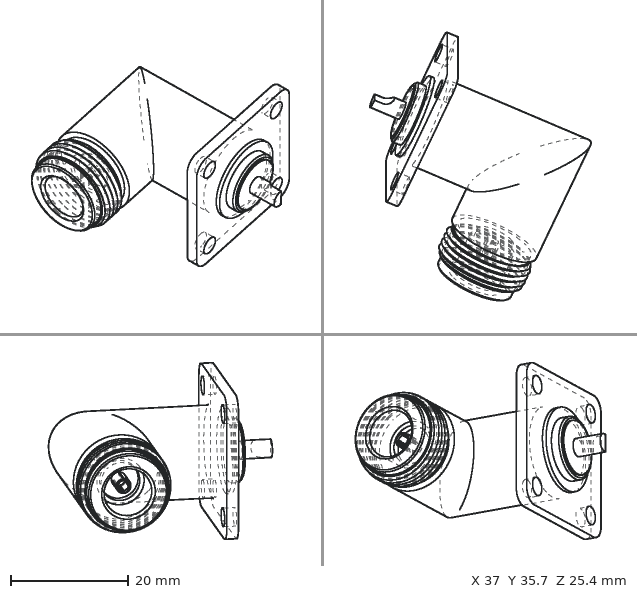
import cadquery as cq


body_diameter = 15.9
body_radius = body_diameter / 2
arm_end = 14.55

flange_size = 25.4
flange_thickness = 2.05
flange_start = 19.03
flange_end = flange_start + flange_thickness
flange_corner_radius = 2.6
flange_hole_diameter = 3.2
flange_hole_spacing = 18.25
weld_fillet = 0.55

collar_diameter = 14.65
collar_height = 0.7
collar_end = flange_end + collar_height
boss_diameter = 11.0
boss_height = 2.0
boss_end = collar_end + boss_height
boss_rim_chamfer = 0.35
insulator_diameter = 9.48
insulator_height = 0.22
pin_diameter = 3.2
overall_length = 37.02
pin_end = overall_length - body_radius
pin_flat_height = 0.35
pin_flat_start = 27.7
pin_scoop_radius = 1.93

neck_diameter = 13.75
overall_depth = 35.7
neck_end = overall_depth - flange_size / 2
neck_chamfer = 0.3
thread_start = 15.85
thread_end = 21.0
thread_pitch = 1.06
thread_depth = 0.78
thread_root_flat = 0.05
thread_overlap = 0.05
thread_root_radius = body_radius - thread_depth
thread_turns = 8
ridge_start = 14.6

mouth_diameter = 9.3
socket_diameter = 8.25
mouth_depth = 0.5
socket_depth = 7.4
seat_diameter = 6.75
seat_depth = 8.9

contact_diameter = 2.55
contact_tip_depth = 4.45
contact_mouth_diameter = 2.3
contact_hole_diameter = 1.78
contact_mouth_depth = 0.25
contact_hole_depth = 3.7
contact_slot_width = 0.2


def x_cylinder(diameter, start, end):
    """Cylinder about the X axis."""
    return cq.Workplane("YZ").workplane(offset=start).circle(diameter / 2).extrude(end - start)


def neck_cylinder(diameter, start, end):
    """Cylinder about the Z axis, later turned to point along -Y."""
    return cq.Workplane("XY").workplane(offset=start).circle(diameter / 2).extrude(end - start)


def neck_funnel(outer_diameter, inner_diameter, face, depth):
    """Cone about the Z axis that narrows from the face down to the given depth."""
    return (
        cq.Workplane("XY")
        .workplane(offset=face)
        .circle(outer_diameter / 2)
        .workplane(offset=-depth)
        .circle(inner_diameter / 2)
        .loft()
    )


def make_body():
    path = cq.Workplane("XY").moveTo(flange_start, 0).lineTo(0, 0).lineTo(0, -arm_end)
    profile = cq.Workplane("YZ").workplane(offset=flange_start).circle(body_radius)
    return profile.sweep(path, transition="right")


def make_flange():
    plate = (
        cq.Workplane("YZ")
        .workplane(offset=flange_start)
        .rect(flange_size, flange_size)
        .extrude(flange_thickness)
        .edges("|X")
        .fillet(flange_corner_radius)
    )
    return (
        plate.faces(">X")
        .workplane(origin=(flange_end, 0, 0))
        .rect(flange_hole_spacing, flange_hole_spacing, forConstruction=True)
        .vertices()
        .hole(flange_hole_diameter)
    )


def make_weld():
    """Concave ring that blends the body into the flange."""
    return (
        cq.Workplane("XY")
        .moveTo(flange_start, 0)
        .lineTo(flange_start, body_radius + weld_fillet)
        .radiusArc((flange_start - weld_fillet, body_radius), weld_fillet)
        .lineTo(flange_start - weld_fillet, 0)
        .close()
        .revolve(360, (0, 0, 0), (1, 0, 0))
    )


def make_boss():
    """Collar, chamfered boss and the insulator that stands out of the boss face."""
    boss_face = boss_end - insulator_height
    collar = x_cylinder(collar_diameter, flange_end, collar_end)
    boss = x_cylinder(boss_diameter, flange_end, boss_face).faces(">X").chamfer(boss_rim_chamfer)
    insulator = x_cylinder(insulator_diameter, flange_end, boss_end)
    return collar.union(boss).union(insulator)


def make_pin():
    """Solder pin with its +Y side scooped away to a flat."""
    pin = x_cylinder(pin_diameter, flange_end, pin_end)
    scoop = (
        cq.Workplane("XY")
        .center(pin_flat_start, pin_flat_height + pin_scoop_radius)
        .circle(pin_scoop_radius)
        .extrude(pin_diameter / 2, both=True)
    )
    flat = (
        cq.Workplane("XY")
        .moveTo(pin_flat_start, pin_flat_height)
        .rect(pin_end - pin_flat_start, pin_diameter, centered=False)
        .extrude(pin_diameter / 2, both=True)
    )
    return pin.cut(scoop).cut(flat)


def make_thread():
    """Right-hand V ridge wound on a plain core and trimmed by a chamfer at each end."""
    core = neck_cylinder(2 * thread_root_radius, thread_start, thread_end)
    helix = cq.Wire.makeHelix(thread_pitch, thread_turns * thread_pitch, thread_root_radius)
    base_radius = thread_root_radius - thread_overlap
    half_base = (thread_pitch - thread_root_flat) / 2
    ridge = (
        cq.Workplane("XZ")
        .moveTo(base_radius, -half_base)
        .lineTo(body_radius, 0)
        .lineTo(base_radius, half_base)
        .close()
        .sweep(cq.Workplane(obj=helix), isFrenet=True)
        .translate((0, 0, ridge_start))
    )
    trim = (
        neck_cylinder(2 * (body_radius + thread_overlap), thread_start, thread_end)
        .faces("<Z or >Z")
        .chamfer(thread_depth + thread_overlap)
    )
    return core.union(ridge.intersect(trim))


def make_socket():
    mouth = neck_funnel(mouth_diameter, socket_diameter, neck_end, mouth_depth)
    bore = neck_cylinder(socket_diameter, neck_end - socket_depth, neck_end)
    seat = neck_cylinder(seat_diameter, neck_end - seat_depth, neck_end)
    return mouth.union(bore).union(seat)


def make_contact():
    tip = neck_end - contact_tip_depth
    contact = neck_cylinder(contact_diameter, neck_end - seat_depth, tip)
    contact = contact.cut(neck_cylinder(contact_hole_diameter, tip - contact_hole_depth, tip))
    contact = contact.cut(
        neck_funnel(contact_mouth_diameter, contact_hole_diameter, tip, contact_mouth_depth)
    )
    for length, width in (
        (contact_diameter, contact_slot_width),
        (contact_slot_width, contact_diameter),
    ):
        slot = (
            cq.Workplane("XY")
            .workplane(offset=tip - contact_hole_depth)
            .rect(length, width)
            .extrude(contact_hole_depth)
        )
        contact = contact.cut(slot)
    return contact


def to_arm(shape):
    """Turn a shape built about Z so that it points along -Y."""
    return shape.rotate((0, 0, 0), (1, 0, 0), 90)


neck = neck_cylinder(neck_diameter, arm_end, neck_end).faces(">Z").chamfer(neck_chamfer)
neck = neck.union(make_thread())

result = (
    make_body()
    .union(make_flange())
    .union(make_weld())
    .union(make_boss())
    .union(make_pin())
    .union(to_arm(neck))
    .cut(to_arm(make_socket()))
    .union(to_arm(make_contact()))
)